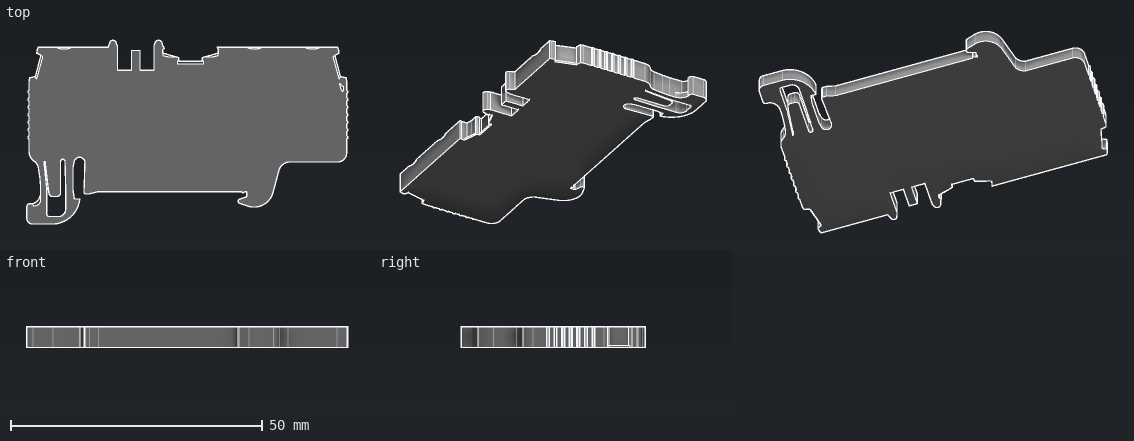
import cadquery as cq

thickness = 4.15
mid_x = 32.1
body_half_width = 31.65
rib_height = 0.2
base_y = 6.45
roof_y = 35.2
leg_top_y = 14.3
body_overlap = 0.65
shoulder_y = 12.35
corner_radius = 1.9

side_left = mid_x - body_half_width
side_right = mid_x + body_half_width

ledge_thickness = 0.4
recess_height = thickness - ledge_thickness

groove_mid_x = 32.6
groove_floor_y = 32.5
groove_half_width = 2.3
groove_undercut = 0.3
groove_recess_depth = 0.6
ramp_low_y = 33.25
ramp_high_y = 34.1
ramp_half_width = 5.5
ramp_recess_depth = 0.5
ramp_recess_foot = 4.2
ramp_corner = 0.25

shaft_left, shaft_right = 18.1, 25.3
shaft_floor_y = 30.7
tongue_left, tongue_right = 20.85, 22.55
tongue_top_y = 34.6
peg_top_y = 36.6

rib_count = 7
rib_span = 9.1
rib_pitch = rib_span / (rib_count - 1)
first_rib_y = 26.35
rib_rise = 0.3
rib_crest = 0.16

scoop_centers_x = (7.4, 45.3, 56.9)
scoop_radius = 3.65
scoop_depth = 0.4

foot_top_y = 4.1
foot_top_radius = 0.65
foot_corner_radius = 1.2
leg_outer_x = 2.75
leg_inner_x = 9.3
slot_right_x = 11.4
slot_mouth_y = 6.15
heel_y = 6.0
window_floor_y = 1.55
gusset_height = 1.15

hook_mouth_x = 43.8
hook_back_x = 49.1
hook_bottom_y = 3.5

release_pocket_depth = 0.65


def extrude_points(points, height=thickness, bottom=0.0):
    """Prism over a closed polygon."""
    return cq.Workplane("XY").workplane(offset=bottom).polyline(points).close().extrude(height)


def mirrored(points, axis_x):
    """Points reflected about the line X = axis_x."""
    return [(2 * axis_x - x, y) for x, y in points]


flank_recess_foot = (1.7, 29.4)
flank_recess_head = (2.8, 33.6)
flank_recess_depth = 0.4
left_flank = [
    (side_left, 28.45),
    (0.6, 29.15),
    flank_recess_foot,
    flank_recess_head,
    (2.0, 34.0),
    (2.1, 34.85),
    (2.3, roof_y),
]


def make_body():
    """Main plate with the base heel, the right overhang and both flanks."""
    return (
        cq.Workplane("XY")
        .moveTo(side_left, leg_top_y)
        .lineTo(leg_inner_x, leg_top_y)
        .lineTo(leg_inner_x, heel_y + 0.25)
        .lineTo(slot_right_x, heel_y + 0.25)
        .lineTo(slot_right_x + 0.25, heel_y)
        .lineTo(12.45, heel_y)
        .lineTo(14.25, base_y)
        .lineTo(hook_back_x, base_y)
        .lineTo(50.3, 11.0)
        .threePointArc((50.95, 11.8), (52.05, shoulder_y))
        .lineTo(side_right - corner_radius, shoulder_y)
        .radiusArc((side_right, shoulder_y + corner_radius), -corner_radius)
        .polyline(mirrored(left_flank, mid_x), includeCurrent=True)
        .polyline(left_flank[::-1], includeCurrent=True)
        .close()
        .extrude(thickness)
    )


def make_pegs():
    """Two rounded pegs that stand above the roof beside the bridge shaft."""
    left_peg = (
        cq.Workplane("XY")
        .moveTo(16.2, roof_y - body_overlap)
        .lineTo(16.2, roof_y)
        .lineTo(16.55, 36.25)
        .threePointArc((17.15, peg_top_y), (17.8, 36.25))
        .lineTo(shaft_left, 35.4)
        .lineTo(shaft_left, roof_y - body_overlap)
        .close()
        .extrude(thickness)
    )
    right_peg = (
        cq.Workplane("XY")
        .moveTo(shaft_right, ramp_low_y)
        .lineTo(shaft_right, 35.5)
        .lineTo(25.5, 36.05)
        .threePointArc((26.3, peg_top_y), (27.0, 36.05))
        .lineTo(27.1, 35.55)
        .lineTo(27.4, 35.0)
        .lineTo(27.05, 34.65)
        .lineTo(27.05, ramp_low_y)
        .close()
        .extrude(thickness)
    )
    return left_peg.union(right_peg)


def make_shaft_cut():
    """Opening between the pegs, leaving the central tongue."""
    opening = extrude_points([
        (shaft_left, shaft_floor_y),
        (shaft_right, shaft_floor_y),
        (shaft_right, peg_top_y),
        (shaft_left, peg_top_y),
    ])
    tongue = extrude_points([
        (tongue_left, shaft_floor_y),
        (tongue_right, shaft_floor_y),
        (tongue_right, tongue_top_y),
        (tongue_left, tongue_top_y),
    ])
    return opening.cut(tongue)


def make_groove_cut():
    """Marker groove through the top edge, with a ramp on each side."""
    right_half = [
        (groove_mid_x + groove_half_width, groove_floor_y),
        (groove_mid_x + groove_half_width, ramp_low_y - ramp_corner / 2),
        (groove_mid_x + groove_half_width + ramp_corner, ramp_low_y),
        (groove_mid_x + ramp_half_width, ramp_high_y),
        (groove_mid_x + ramp_half_width, 34.8),
        (groove_mid_x + ramp_half_width - 0.2, roof_y),
    ]
    return extrude_points(right_half + mirrored(right_half, groove_mid_x)[::-1])


def make_groove_recesses():
    """Deeper floor of the groove and of both ramps above the ledge."""
    recess_half_width = groove_half_width + groove_undercut
    floor = extrude_points(
        [
            (groove_mid_x - recess_half_width, groove_floor_y - groove_recess_depth),
            (groove_mid_x + recess_half_width, groove_floor_y - groove_recess_depth),
            (groove_mid_x + recess_half_width, groove_floor_y),
            (groove_mid_x - recess_half_width, groove_floor_y),
        ],
        recess_height,
        ledge_thickness,
    )
    ramp = [
        (groove_mid_x + groove_half_width + ramp_corner, ramp_low_y),
        (groove_mid_x + ramp_recess_foot, ramp_low_y),
        (groove_mid_x + ramp_half_width, ramp_high_y - ramp_recess_depth),
        (groove_mid_x + ramp_half_width, ramp_high_y),
    ]
    for points in (ramp, mirrored(ramp, groove_mid_x)):
        floor = floor.union(extrude_points(points, recess_height, ledge_thickness))
    return floor


def make_flank_recesses():
    """Slanted recesses in the flanks above the ledge."""
    foot_x, foot_y = flank_recess_foot
    head_x, head_y = flank_recess_head
    left = [
        flank_recess_foot,
        (foot_x + 0.25, foot_y - 0.5),
        (head_x + flank_recess_depth, head_y - 0.3),
        flank_recess_head,
    ]
    recesses = extrude_points(left, recess_height, ledge_thickness)
    return recesses.union(extrude_points(mirrored(left, mid_x), recess_height, ledge_thickness))


def make_scoop_cut(center_x):
    """Conical scoop that runs out of the top edge below the upper face."""
    small_radius = scoop_radius - scoop_depth
    return (
        cq.Workplane("XY")
        .workplane(offset=thickness - scoop_depth)
        .center(center_x, roof_y + small_radius)
        .circle(small_radius)
        .workplane(offset=scoop_depth)
        .circle(scoop_radius)
        .loft()
    )


def make_ribs():
    """Grip ribs on both side walls."""
    ribs = cq.Workplane("XY")
    for index in range(rib_count):
        y = first_rib_y - index * rib_pitch
        tooth = [
            (side_left + rib_height, y - rib_rise),
            (side_left, y - rib_rise),
            (side_left - rib_height, y - rib_crest),
            (side_left - rib_height, y + rib_crest),
            (side_left, y + rib_rise),
            (side_left + rib_height, y + rib_rise),
        ]
        ribs = ribs.add(extrude_points(tooth)).add(extrude_points(mirrored(tooth, mid_x)))
    return ribs.combine()


def make_foot():
    """Spring leg and rail foot."""
    return (
        cq.Workplane("XY")
        .moveTo(side_left, leg_top_y)
        .threePointArc((0.75, 13.3), (1.5, 12.5))
        .threePointArc((2.05, 11.95), (2.3, 11.25))
        .lineTo(2.6, 9.15)
        .lineTo(leg_outer_x, 7.4)
        .lineTo(leg_outer_x, 4.6)
        .threePointArc((2.1, 3.8), (1.35, 3.65))
        .lineTo(1.2, foot_top_y)
        .lineTo(foot_top_radius, foot_top_y)
        .radiusArc((0, foot_top_y - foot_top_radius), -foot_top_radius)
        .lineTo(0, foot_corner_radius)
        .radiusArc((foot_corner_radius, 0), -foot_corner_radius)
        .lineTo(5.25, 0)
        .threePointArc((9.1, 1.7), (10.6, 5.05))
        .lineTo(9.5, 5.05)
        .lineTo(leg_inner_x, 6.65)
        .lineTo(leg_inner_x, leg_top_y)
        .close()
        .extrude(thickness)
    )


def make_gusset():
    """Low fillet web in the corner between the leg and the foot."""
    return (
        cq.Workplane("XY")
        .moveTo(leg_outer_x, 6.0)
        .threePointArc((2.25, 4.8), (1.2, foot_top_y))
        .lineTo(1.2, 3.45)
        .lineTo(leg_outer_x, 3.45)
        .close()
        .extrude(gusset_height)
    )


def make_leg_opening():
    """Opening inside the leg: slit, tongue end and clear window."""
    return (
        cq.Workplane("XY")
        .moveTo(3.45, 12.45)
        .lineTo(4.0, 7.05)
        .lineTo(4.0, 1.9)
        .threePointArc((4.15, 1.65), (4.4, window_floor_y))
        .lineTo(6.25, window_floor_y)
        .threePointArc((7.35, 2.0), (7.75, 3.0))
        .lineTo(7.75, 7.7)
        .lineTo(7.6, 12.45)
        .threePointArc((7.15, 12.9), (6.8, 12.45))
        .lineTo(6.8, 6.2)
        .threePointArc((6.5, 5.7), (6.0, 5.5))
        .lineTo(5.25, 5.5)
        .threePointArc((4.65, 5.7), (4.4, 6.2))
        .lineTo(4.3, 7.05)
        .lineTo(3.65, 12.45)
        .close()
        .extrude(thickness)
    )


def make_leg_slot():
    """Slot that separates the leg from the body, open at the underside."""
    return (
        cq.Workplane("XY")
        .moveTo(leg_inner_x + 0.05, slot_mouth_y)
        .lineTo(leg_inner_x, 6.65)
        .lineTo(leg_inner_x, 11.4)
        .lineTo(9.45, 12.4)
        .threePointArc((10.5, 13.3), (11.6, 12.4))
        .lineTo(slot_right_x, slot_mouth_y)
        .close()
        .extrude(thickness)
    )


def make_hook():
    """Fixed rail hook with its small retaining mouth."""
    return (
        cq.Workplane("XY")
        .moveTo(hook_mouth_x, base_y + body_overlap)
        .lineTo(hook_mouth_x, 5.5)
        .lineTo(42.4, 5.0)
        .threePointArc((42.05, 4.55), (42.3, 4.15))
        .lineTo(44.25, hook_bottom_y)
        .threePointArc((47.3, 3.95), (hook_back_x, base_y))
        .lineTo(hook_back_x, base_y + body_overlap)
        .close()
        .extrude(thickness)
    )


def make_mouth_lip():
    """Small lip at the end of the underside, facing the hook."""
    return extrude_points([(42.8, base_y), (42.95, 6.2), (43.5, base_y)])


def make_release_pocket():
    """Blind crescent pocket in the upper face."""
    points = [(62.25, 28.0), (62.65, 26.65), (62.85, 26.4), (63.05, 26.65), (63.05, 27.35)]
    return extrude_points(points, release_pocket_depth, thickness - release_pocket_depth)


result = make_body().union(make_foot()).union(make_hook()).union(make_mouth_lip())
result = result.cut(make_groove_cut()).union(make_pegs())
result = result.cut(make_shaft_cut()).cut(make_leg_opening()).cut(make_leg_slot())

result = result.union(make_gusset())
result = result.cut(make_groove_recesses()).cut(make_flank_recesses()).cut(make_release_pocket())
for scoop_x in scoop_centers_x:
    result = result.cut(make_scoop_cut(scoop_x))

result = result.union(make_ribs())